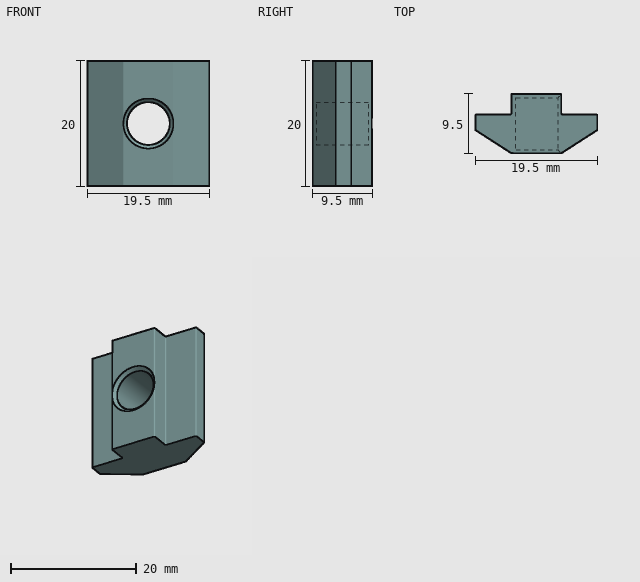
import cadquery as cq

length = 20.0
width = 19.5
depth = 9.5

stem_width = 8.0
stem_depth = 3.3
flange_side_depth = 2.5
edge_radius = 0.2
root_radius = 0.2
nose_radius = 0.2

hole_diameter = 6.8
countersink_diameter = 8.0
countersink_depth = (countersink_diameter - hole_diameter) / 2

front_y = -depth / 2
back_y = depth / 2
shoulder_y = back_y - stem_depth
bevel_y = shoulder_y - flange_side_depth
half_width = width / 2
half_stem = stem_width / 2


def round_edges(body, half_x, y, radius):
    """Round the mirrored pair of vertical edges at x = +/-half_x."""
    for x in (-half_x, half_x):
        edge = cq.selectors.NearestToPointSelector((x, y, 0))
        body = body.edges("|Z").edges(edge).fillet(radius)
    return body


def make_body():
    """Extrude the symmetric T-section with a tapered front."""
    section = [
        (0, front_y),
        (half_stem, front_y),
        (half_width, bevel_y),
        (half_width, shoulder_y),
        (half_stem, shoulder_y),
        (half_stem, back_y),
        (0, back_y),
    ]
    body = cq.Workplane("XY").polyline(section).mirrorY()
    body = body.extrude(length / 2, both=True)
    body = round_edges(body, half_stem, back_y, edge_radius)
    body = round_edges(body, half_width, shoulder_y, edge_radius)
    body = round_edges(body, half_stem, shoulder_y, root_radius)
    return round_edges(body, half_stem, front_y, nose_radius)


def make_hole():
    """Revolve the hole and both countersinks about the Y axis."""
    hole_radius = hole_diameter / 2
    mouth_radius = countersink_diameter / 2
    half_profile = [
        (0, front_y),
        (mouth_radius, front_y),
        (hole_radius, front_y + countersink_depth),
        (hole_radius, back_y - countersink_depth),
        (mouth_radius, back_y),
        (0, back_y),
    ]
    profile = cq.Workplane("XY").polyline(half_profile).close()
    return profile.revolve(360, (0, 0, 0), (0, 1, 0))


result = make_body().cut(make_hole())